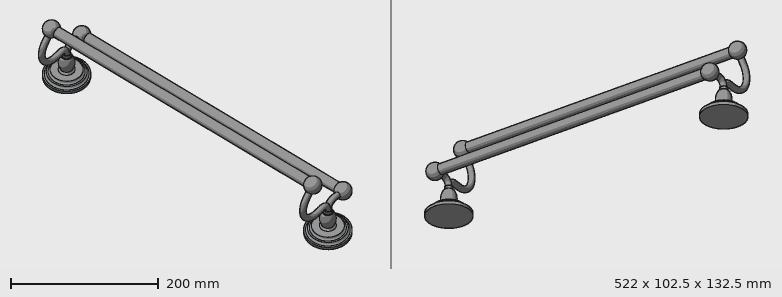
import cadquery as cq
import math


overall_length = 522.0
flange_radius = 33.0
post_spacing = overall_length - 2 * flange_radius

bar_radius = 8.0
ball_radius = 12.5
bar_offset = 32.5
low_bar_height = 55.0
high_bar_height = 120.0

rim_height = 4.5
rim_shoulder_radius = 30.5
middle_radius = 27.5
middle_height = 9.0
middle_shoulder_radius = 25.0
top_radius = 22.5
flange_height = 13.5
cove_radius = 4.0
tier_lip = 1.0

foot_radius = 11.5
neck_radius = 9.0
bulb_bottom = 16.5
bulb_radius = 11.5
bulb_middle = 27.5
bulb_top_radius = 7.5
bulb_top = 40.0
collar_radius = 6.0
collar_top = 45.5

tube_radius = 4.5
bend_radius = 12.0
bend_center = (bend_radius, collar_top)
hook_radius = 28.5
hook_center = (24.5, 85.5)
low_ball_center = (bar_offset, low_bar_height)
high_ball_center = (bar_offset, high_bar_height)


def on_circle(center, radius, angle):
    """Point of a circle; the angle (radians) is counted from the outward axis."""
    return (center[0] + radius * math.cos(angle), center[1] + radius * math.sin(angle))


def direction_and_distance(start, end):
    """Angle and length of the line from one point to another."""
    across = end[0] - start[0]
    up = end[1] - start[1]
    return math.atan2(up, across), math.hypot(across, up)


def make_post():
    """Flange, foot, bulb and collar turned about the post axis."""
    flange_outline = (
        cq.Workplane("XZ")
        .lineTo(flange_radius, 0)
        .lineTo(flange_radius, rim_height)
        .lineTo(rim_shoulder_radius, rim_height)
        .radiusArc((middle_radius, middle_height - tier_lip), cove_radius)
        .lineTo(middle_radius, middle_height)
        .lineTo(middle_shoulder_radius, middle_height)
        .radiusArc((top_radius, flange_height - tier_lip), cove_radius)
        .lineTo(top_radius, flange_height)
    )
    post_outline = (
        flange_outline.lineTo(foot_radius, flange_height)
        .lineTo(neck_radius, bulb_bottom)
        .threePointArc((bulb_radius, bulb_middle), (bulb_top_radius, bulb_top))
        .lineTo(collar_radius, bulb_top)
        .lineTo(collar_radius, collar_top)
        .lineTo(0, collar_top)
        .close()
    )
    return post_outline.revolve(360, (0, 0, 0), (0, 1, 0))


def start_bend(end_angle):
    """Centre line of the bend that turns outward from the top of the collar."""
    middle = on_circle(bend_center, bend_radius, (math.pi + end_angle) / 2)
    end = on_circle(bend_center, bend_radius, end_angle)
    return cq.Workplane("YZ").moveTo(0, collar_top).threePointArc(middle, end)


def sweep_tube(path):
    """Round tube along a centre line, trimmed to the +Y side where the two bends meet."""
    tube = cq.Workplane("XY").workplane(offset=collar_top).circle(tube_radius).sweep(path)
    plus_y_side = cq.Workplane("XY").box(
        overall_length, overall_length, overall_length, centered=(True, False, True)
    )
    return tube.intersect(plus_y_side)


def make_short_arm():
    """Bend followed by a straight neck aimed at the low ball."""
    heading, distance = direction_and_distance(bend_center, low_ball_center)
    bend_end = heading + math.acos(bend_radius / distance)
    path = start_bend(bend_end).lineTo(*low_ball_center)
    return sweep_tube(path)


def make_hook_arm():
    """Bend, straight run, large hook and straight neck aimed at the high ball."""
    heading, distance = direction_and_distance(bend_center, hook_center)
    bend_end = heading + math.acos((bend_radius + hook_radius) / distance)
    hook_start = bend_end - math.pi
    heading, distance = direction_and_distance(hook_center, high_ball_center)
    hook_end = heading - math.acos(hook_radius / distance)
    path = (
        start_bend(bend_end)
        .lineTo(*on_circle(hook_center, hook_radius, hook_start))
        .threePointArc(
            on_circle(hook_center, hook_radius, (hook_start + hook_end) / 2),
            on_circle(hook_center, hook_radius, hook_end),
        )
        .lineTo(*high_ball_center)
    )
    return sweep_tube(path).mirror("XZ")


def make_ball(y, z):
    """Ball that joins an arm to the end of a bar."""
    return cq.Workplane("XY").sphere(ball_radius).translate((0, y, z))


def make_bar(y, z):
    """Bar running from ball centre to ball centre."""
    start = cq.Workplane("YZ", origin=(-post_spacing / 2, y, z))
    return start.circle(bar_radius).extrude(post_spacing)


bar_positions = [(bar_offset, low_bar_height), (-bar_offset, high_bar_height)]

stand = make_post().union(make_short_arm()).union(make_hook_arm())
for y, z in bar_positions:
    stand = stand.union(make_ball(y, z))

result = stand.translate((-post_spacing / 2, 0, 0))
result = result.union(stand.translate((post_spacing / 2, 0, 0)))
for y, z in bar_positions:
    result = result.union(make_bar(y, z))